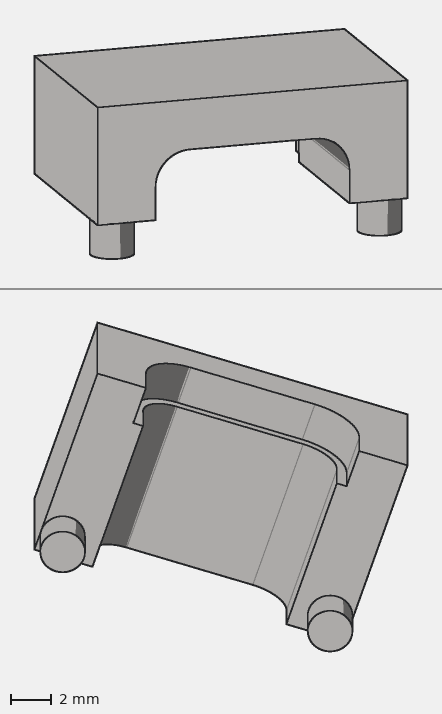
import cadquery as cq

block_length_x = 10.0
block_width_y = 16.0
block_height = 6.0

passage_width = 10.0
passage_height = 3.45
passage_corner_radius = 1.75
recess_step = 0.5
recess_corner_radius = 2.3
recess_depth = 2.0

pin_diameter = 2.2
pin_length = 1.8


def make_block():
    return cq.Workplane("XY").box(
        block_length_x, block_width_y, block_height, centered=(True, True, False)
    )


def make_arch(width, height, corner_radius, depth):
    """Arched solid with rounded upper corners, starting at the -X face."""
    return (
        cq.Workplane("XY")
        .box(depth, width, height, centered=(False, True, False))
        .edges("|X and >Z")
        .fillet(corner_radius)
        .translate((-block_length_x / 2, 0, 0))
    )


def make_pins():
    pin_radius = pin_diameter / 2
    pin_x = block_length_x / 2 - pin_radius
    pin_y = block_width_y / 2 - pin_radius
    return (
        cq.Workplane("XY")
        .pushPoints([(pin_x, -pin_y), (pin_x, pin_y)])
        .circle(pin_radius)
        .extrude(-pin_length)
    )


passage = make_arch(passage_width, passage_height, passage_corner_radius, block_length_x)
recess = make_arch(
    passage_width + 2 * recess_step,
    passage_height + recess_step,
    recess_corner_radius,
    recess_depth,
)

result = make_block().cut(passage).cut(recess).union(make_pins())